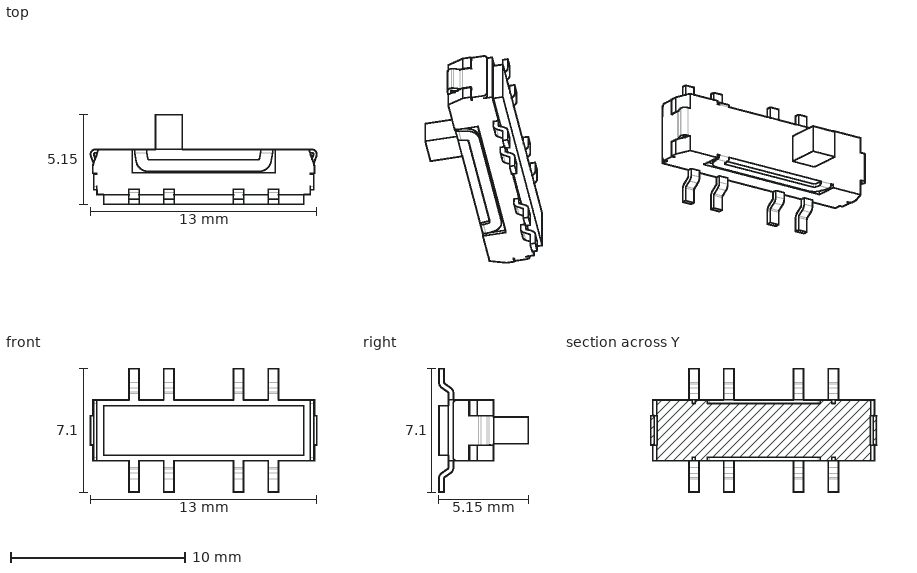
import cadquery as cq
import math


BASE_LENGTH = 11.5
BASE_DEPTH = 0.55
BASE_WIDTH = 2.86

BODY_TOP = 3.15
BODY_WIDTH = 3.5
BODY_HALF_WIDTH = BODY_WIDTH / 2
BODY_HALF_LENGTH = 6.125
SHOULDER_OVERHANG = 0.245
SHOULDER_HALF_LENGTH = BODY_HALF_LENGTH + SHOULDER_OVERHANG
SHOULDER_Y = 1.77
END_BEVEL_Y = 2.21
END_BEVEL_RUN = 0.325

KNOB_X = -2.0
KNOB_SIZE = 1.55
KNOB_TOP = 5.15

SHEET = 0.2

PART_HALF_LENGTH = 6.5
CLIP_STEM_WIDTH = 1.7
CLIP_BOTTOM = 0.83
CLIP_CORNER_RADIUS = 0.2
CLIP_CLEARANCE = 0.04
HOOK_ANGLE = 20
HOOK_CURL_RADIUS = 0.28
HOOK_KNEE_RADIUS = 0.32
HOOK_FLARE_RADIUS = 0.45
HOOK_LIP = 0.22

POCKET_LENGTH = 8.2
POCKET_BOTTOM = 1.8
COVER_DRAFT = 10
COVER_HALF_LENGTH = 3.96
COVER_BOTTOM = 1.885
COVER_CORNER_RADIUS = 0.7
WINDOW_HALF_LENGTH = 3.265
WINDOW_BOTTOM = 2.55
WINDOW_CORNER_RADIUS = 0.1

LEAD_POSITIONS = (-4.0, -2.0, 2.0, 4.0)
LEAD_WIDTH = 0.6
LEAD_THICKNESS = 0.3
LEAD_TIP_Z = 3.55
LEAD_FOOT_LENGTH = 0.78
LEAD_BEND_ANGLE = 55
LEAD_BEND_RADIUS = 0.25


def box(x_min, x_max, y_min, y_max, width):
    """Box given by its X and Y limits, centred on Z = 0."""
    centre = ((x_min + x_max) / 2, (y_min + y_max) / 2, 0)
    return cq.Workplane("XY").box(x_max - x_min, y_max - y_min, width).translate(centre)


def bent_strip(plane, start, heading, moves, thickness, width):
    """Strip of constant thickness following a path of straights and bends.

    Each move is (length, 0) for a straight or (mid radius, turn angle) for a bend, anticlockwise positive.
    The heading is in degrees. The strip is extruded by its width, half to each side of the plane.
    """
    half = thickness / 2
    x, y = start
    angle = math.radians(heading)

    def side_point(side):
        return (x - side * half * math.sin(angle), y + side * half * math.cos(angle))

    left = [side_point(1)]
    right = [side_point(-1)]
    bends = []
    for size, turn in moves:
        half_turn = math.radians(turn) / 2
        chord = 2 * size * math.sin(abs(half_turn) / 2)
        steps = [chord, chord] if turn else [size]
        for step in steps:
            x += step * math.cos(angle + half_turn / 2)
            y += step * math.sin(angle + half_turn / 2)
            angle += half_turn
            left.append(side_point(1))
            right.append(side_point(-1))
        bends.append(bool(turn))

    def trace(sketch, points, is_bend):
        remaining = iter(points[1:])
        for bend in is_bend:
            if bend:
                sketch = sketch.threePointArc(next(remaining), next(remaining))
            else:
                sketch = sketch.lineTo(*next(remaining))
        return sketch

    outline = trace(cq.Workplane(plane).moveTo(*left[0]), left, bends)
    outline = outline.lineTo(*right[-1])
    outline = trace(outline, right[::-1], bends[::-1])
    return outline.close().extrude(width / 2, both=True)


def make_housing():
    """Housing block with overhanging, bevelled ends."""
    half_outline = [
        (0, BASE_DEPTH),
        (BODY_HALF_LENGTH, BASE_DEPTH),
        (BODY_HALF_LENGTH, SHOULDER_Y),
        (SHOULDER_HALF_LENGTH, SHOULDER_Y),
        (SHOULDER_HALF_LENGTH, END_BEVEL_Y),
        (SHOULDER_HALF_LENGTH - END_BEVEL_RUN, BODY_TOP),
        (0, BODY_TOP),
    ]
    housing = cq.Workplane("XY").polyline(half_outline).mirrorY().extrude(BODY_HALF_WIDTH, both=True)
    for end in (-1, 1):
        x_min, x_max = sorted((end * BODY_HALF_LENGTH, end * PART_HALF_LENGTH))
        housing = housing.cut(box(x_min, x_max, SHOULDER_Y, BODY_TOP, CLIP_STEM_WIDTH))
    half_pocket = POCKET_LENGTH / 2
    pockets = box(-half_pocket, half_pocket, POCKET_BOTTOM, BODY_TOP, BODY_WIDTH)
    core = box(-half_pocket, half_pocket, POCKET_BOTTOM, BODY_TOP, BODY_WIDTH - 2 * SHEET)
    return housing.cut(pockets.cut(core))


def make_base():
    return box(-BASE_LENGTH / 2, BASE_LENGTH / 2, 0, BASE_DEPTH, BASE_WIDTH)


def make_knob():
    """Slider knob, standing on the top face of the housing."""
    half = KNOB_SIZE / 2
    return box(KNOB_X - half, KNOB_X + half, BODY_TOP, KNOB_TOP, KNOB_SIZE)


def make_clip():
    """Clip on the +X end: wide plate, narrow stem and a hook curling over the end bevel."""
    clip_face = BODY_HALF_LENGTH + SHEET
    plate = box(BODY_HALF_LENGTH, clip_face, CLIP_BOTTOM, SHOULDER_Y - CLIP_CLEARANCE, BODY_WIDTH)
    plate = plate.edges("|X and <Y").fillet(CLIP_CORNER_RADIUS)

    angle = math.radians(HOOK_ANGLE)
    bend_radii = HOOK_FLARE_RADIUS + HOOK_KNEE_RADIUS
    slope_run = PART_HALF_LENGTH - clip_face - bend_radii * (1 - math.cos(angle))
    hook_height = bend_radii * math.sin(angle) + slope_run / math.tan(angle) + HOOK_CURL_RADIUS
    stem_bottom = CLIP_BOTTOM + CLIP_CORNER_RADIUS
    half_sheet = SHEET / 2
    hook_path = [
        (BODY_TOP - hook_height - stem_bottom, 0),
        (HOOK_FLARE_RADIUS + half_sheet, -HOOK_ANGLE),
        (slope_run / math.sin(angle), 0),
        (HOOK_KNEE_RADIUS - half_sheet, HOOK_ANGLE),
        (HOOK_CURL_RADIUS - half_sheet, 90),
        (HOOK_LIP, 0),
    ]
    stem_start = (BODY_HALF_LENGTH + half_sheet, stem_bottom)
    hook = bent_strip("XY", stem_start, 90, hook_path, SHEET, CLIP_STEM_WIDTH)
    return plate.union(hook)


def drafted_outline(half_length, bottom, corner_radius):
    """Plate over the +Z half, from the housing top down to a level, narrowing below the sheet bend."""
    bend_y = BODY_TOP - SHEET
    draft_run = (bend_y - bottom) * math.tan(math.radians(COVER_DRAFT))
    points = [
        (0, bottom),
        (half_length - draft_run, bottom),
        (half_length, bend_y),
        (half_length, BODY_TOP),
        (0, BODY_TOP),
    ]
    plate = cq.Workplane("XY").polyline(points).mirrorY().extrude(BODY_HALF_WIDTH)
    return plate.edges("|Z and <Y").fillet(corner_radius)


def make_cover():
    """U-shaped sheet cover lying in the +Z pocket, bent over at the top edge of the housing."""
    cover = drafted_outline(COVER_HALF_LENGTH, COVER_BOTTOM, COVER_CORNER_RADIUS)
    cover = cover.cut(drafted_outline(WINDOW_HALF_LENGTH, WINDOW_BOTTOM, WINDOW_CORNER_RADIUS))
    floor_z = BODY_HALF_WIDTH - SHEET
    bend_y = BODY_TOP - SHEET
    bend_middle = SHEET * math.sqrt(0.5)
    sheet_section = (
        cq.Workplane("YZ")
        .moveTo(COVER_BOTTOM, floor_z)
        .lineTo(BODY_TOP, floor_z)
        .threePointArc((bend_y + bend_middle, floor_z + bend_middle), (bend_y, BODY_HALF_WIDTH))
        .lineTo(COVER_BOTTOM, BODY_HALF_WIDTH)
        .close()
        .extrude(COVER_HALF_LENGTH, both=True)
    )
    return cover.intersect(sheet_section)


def make_lead(x):
    """Gull-wing lead on the +Z side, running from its tip down the foot and back into the housing."""
    bend = math.radians(LEAD_BEND_ANGLE)
    slope = (BASE_DEPTH - 2 * LEAD_BEND_RADIUS * (1 - math.cos(bend))) / math.sin(bend)
    lead_path = [
        (LEAD_FOOT_LENGTH, 0),
        (LEAD_BEND_RADIUS, LEAD_BEND_ANGLE),
        (slope, 0),
        (LEAD_BEND_RADIUS, -LEAD_BEND_ANGLE),
        (BODY_HALF_WIDTH / 2, 0),
    ]
    tip = (LEAD_THICKNESS / 2, LEAD_TIP_Z)
    return bent_strip("YZ", tip, -90, lead_path, LEAD_THICKNESS, LEAD_WIDTH).translate((x, 0, 0))


result = make_housing().union(make_base()).union(make_knob())

clip = make_clip()
result = result.union(clip).union(clip.mirror("YZ"))

side_parts = [make_cover()] + [make_lead(x) for x in LEAD_POSITIONS]
for side_part in side_parts:
    result = result.union(side_part).union(side_part.mirror("XY"))